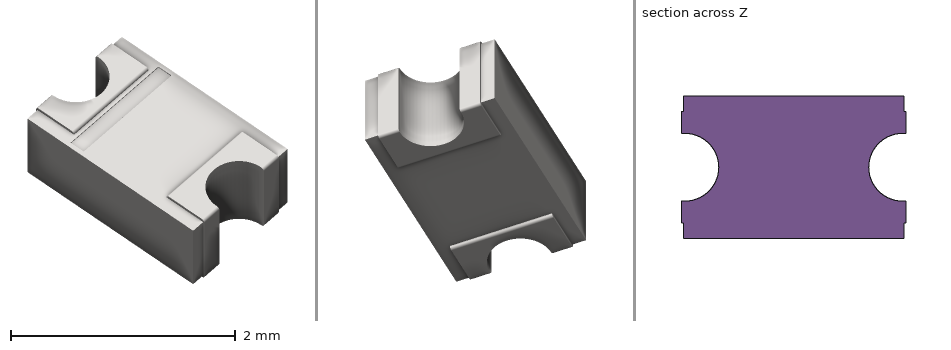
import cadquery as cq

overall_length = 2.0
body_width = 1.27
overall_height = 0.8

end_plating = 0.015
face_plating = 0.03
terminal_length = 0.45
terminal_width = 1.0
outer_edge_radius = 0.03
inner_edge_radius = 0.03

notch_radius = 0.3
notch_center_inset = 0.03

mark_length = 0.155
mark_width = 1.18
mark_center_x = -0.433
mark_depth = 0.01

body_length = overall_length - 2 * end_plating
body_height = overall_height - 2 * face_plating


def make_body():
    return cq.Workplane("XY").box(body_length, body_width, body_height)


def make_terminal(side):
    """Rounded end cap; side is -1 for the -X end and +1 for the +X end."""
    center_x = side * (overall_length - terminal_length) / 2
    outer_face, inner_face = (">X", "<X") if side > 0 else ("<X", ">X")
    return (
        cq.Workplane("XY")
        .box(terminal_length, terminal_width, overall_height)
        .faces(outer_face).edges("|Y").fillet(outer_edge_radius)
        .faces(inner_face).edges("|Y").fillet(inner_edge_radius)
        .translate((center_x, 0, 0))
    )


def make_notch(side):
    """Round cutter whose axis lies just inside the end face."""
    center_x = side * (overall_length / 2 - notch_center_inset)
    return (
        cq.Workplane("XY")
        .cylinder(overall_height, notch_radius)
        .translate((center_x, 0, 0))
    )


def make_mark():
    return (
        cq.Workplane("XY")
        .box(mark_length, mark_width, mark_depth)
        .translate((mark_center_x, 0, (body_height - mark_depth) / 2))
    )


result = make_body()
for end in (-1, 1):
    result = result.union(make_terminal(end))
for end in (-1, 1):
    result = result.cut(make_notch(end))
result = result.cut(make_mark())